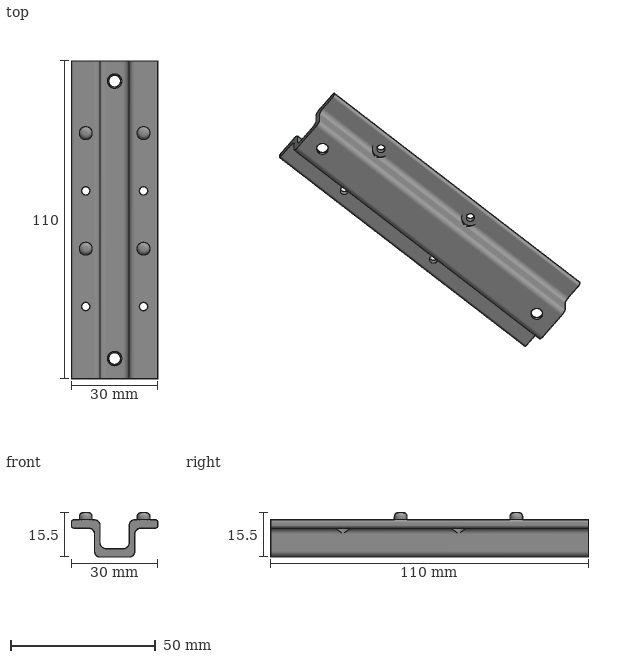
import cadquery as cq

rail_length = 110.0
rail_width = 30.0
rail_height = 13.0
plate_thickness = 3.0
wall_thickness = 2.0
channel_width = 10.0
bend_radius = 2.0
flange_edge_radius = 1.0

floor_hole_diameter = 4.0
counterbore_diameter = 5.0
counterbore_depth = 1.0
floor_hole_spacing = 96.0

flange_hole_diameter = 2.8
flange_relief_diameter = 6.0
flange_row_spacing = 20.0
flange_hole_ys = (10.0, -30.0)
stud_ys = (30.0, -10.0)

stud_diameter = 4.5
stud_height = 2.5
stud_top_radius = 1.5

selection_margin = 0.1

body_width = channel_width + 2 * wall_thickness
flange_underside = rail_height - plate_thickness
row_xs = (-flange_row_spacing / 2, flange_row_spacing / 2)


def centred_box(width, bottom, top):
    """Full-length box centred in X and Y between two heights."""
    return (
        cq.Workplane("XY")
        .workplane(offset=bottom)
        .rect(width, rail_length)
        .extrude(top - bottom)
    )


def lengthwise_edges(solid, half_width, height):
    """The pair of edges running along Y at +/- half_width and the given height."""
    pair = cq.Workplane("XY")
    for side in (-1, 1):
        x = side * half_width
        selector = cq.selectors.BoxSelector(
            (x - selection_margin, -selection_margin, height - selection_margin),
            (x + selection_margin, selection_margin, height + selection_margin),
        )
        pair = pair.add(solid.edges(selector))
    return pair


def make_rail():
    """Hat-shaped channel: a U-shaped trough with a flange along each side."""
    rail = centred_box(rail_width, flange_underside, rail_height)
    rail = rail.union(centred_box(body_width, 0, rail_height))
    rail = rail.cut(centred_box(channel_width, plate_thickness, rail_height))
    rounded_edges = (
        (rail_width / 2, rail_height, flange_edge_radius),
        (rail_width / 2, flange_underside, flange_edge_radius),
        (body_width / 2, flange_underside, bend_radius),
        (body_width / 2, 0, bend_radius),
        (channel_width / 2, rail_height, bend_radius),
        (channel_width / 2, plate_thickness, bend_radius),
    )
    for half_width, height, radius in rounded_edges:
        edges = lengthwise_edges(rail, half_width, height).vals()
        rail = rail.newObject([rail.val().fillet(radius, edges)])
    return rail


def flange_points(ys):
    """Places on both flange rows at the given positions along the rail."""
    return [(x, y) for x in row_xs for y in ys]


def floor_hole_cutter():
    """Two counterbored through holes on the centre line of the channel floor."""
    points = [(0, -floor_hole_spacing / 2), (0, floor_hole_spacing / 2)]
    holes = cq.Workplane("XY").pushPoints(points).circle(floor_hole_diameter / 2).extrude(plate_thickness)
    counterbores = (
        cq.Workplane("XY")
        .workplane(offset=plate_thickness - counterbore_depth)
        .pushPoints(points)
        .circle(counterbore_diameter / 2)
        .extrude(counterbore_depth)
    )
    return holes.union(counterbores)


def flange_hole_cutter():
    """Through holes in the flanges, with a relief in the bend below each one."""
    points = flange_points(flange_hole_ys)
    holes = (
        cq.Workplane("XY")
        .workplane(offset=flange_underside)
        .pushPoints(points)
        .circle(flange_hole_diameter / 2)
        .extrude(plate_thickness)
    )
    reliefs = (
        cq.Workplane("XY")
        .workplane(offset=flange_underside - bend_radius)
        .pushPoints(points)
        .circle(flange_relief_diameter / 2)
        .extrude(bend_radius)
    )
    return holes.union(reliefs)


def make_stud():
    """Cylindrical stud with a broadly rounded top, seated at Z = 0."""
    stud = cq.Workplane("XY").circle(stud_diameter / 2).extrude(stud_height)
    return stud.faces(">Z").edges().fillet(stud_top_radius)


result = make_rail().cut(floor_hole_cutter()).cut(flange_hole_cutter())
stud = make_stud()
for x, y in flange_points(stud_ys):
    result = result.union(stud.translate((x, y, rail_height)))